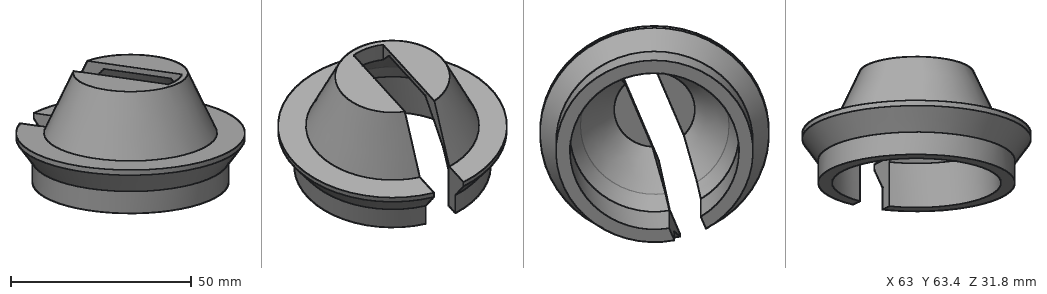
import cadquery as cq

flange_radius = 31.7
base_radius = 27.25
cone_bottom_radius = 24.0
cone_top_radius = 15.85
base_height = 6.45
flange_bottom = 12.75
flange_top = 14.25
total_height = 31.8

bore_radius = 23.4
shoulder_radius = 20.55
ceiling_radius = 11.15
bore_height = flange_bottom
shoulder_height = 18.65
ceiling_height = 30.1

slot_width = 9.4
slot_end_radius = 14.2


def revolve_profile(points):
    """Revolve (radius, height) points around the Z axis."""
    return cq.Workplane("XZ").polyline(points).close().revolve(360, (0, 0, 0), (0, 1, 0))


def make_body():
    return revolve_profile([
        (0, 0),
        (base_radius, 0),
        (base_radius, base_height),
        (flange_radius, flange_bottom),
        (flange_radius, flange_top),
        (cone_bottom_radius, flange_top),
        (cone_top_radius, total_height),
        (0, total_height),
    ])


def make_cavity():
    return revolve_profile([
        (0, 0),
        (bore_radius, 0),
        (bore_radius, bore_height),
        (shoulder_radius, shoulder_height),
        (ceiling_radius, ceiling_height),
        (0, ceiling_height),
    ])


def make_slot():
    half_width = slot_width / 2
    corner_x = (slot_end_radius**2 - half_width**2) ** 0.5
    return (
        cq.Workplane("XY")
        .moveTo(-flange_radius, -half_width)
        .lineTo(corner_x, -half_width)
        .threePointArc((slot_end_radius, 0), (corner_x, half_width))
        .lineTo(-flange_radius, half_width)
        .close()
        .extrude(total_height)
    )


result = make_body().cut(make_cavity()).cut(make_slot())